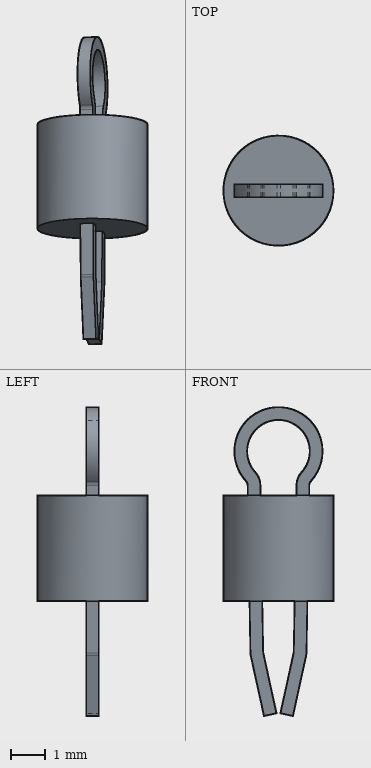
import cadquery as cq
import math

body_diameter = 3.17
body_bottom = 3.3
body_top = 6.34

wire = 0.37

total_height = 8.88
loop_outer_radius = 1.27
loop_inner_radius = loop_outer_radius - wire
loop_center_z = total_height - loop_outer_radius
neck_inner_x = 0.515
neck_outer_x = neck_inner_x + wire
bend_inner_radius = wire / 2
bend_outer_radius = bend_inner_radius + wire

leg_root_x = 0.835
leg_bend_x = 0.81
leg_bend_z = 1.785
leg_tip_x = 0.42


def make_body():
    body = cq.Workplane("XY").workplane(offset=body_bottom)
    return body.circle(body_diameter / 2).extrude(body_top - body_bottom)


def make_loop():
    """Open ring whose ends bend back tangentially into two vertical necks."""
    bend_x = neck_outer_x + bend_inner_radius
    reach = loop_inner_radius + bend_outer_radius
    bend_z = loop_center_z - math.sqrt(reach**2 - bend_x**2)
    tangent_angle = math.atan2(loop_center_z - bend_z, bend_x)

    def loop_point(radius):
        x = radius * math.cos(tangent_angle)
        return x, loop_center_z - radius * math.sin(tangent_angle)

    def bend_middle(radius):
        half_angle = math.pi - tangent_angle / 2
        return bend_x + radius * math.cos(half_angle), bend_z + radius * math.sin(half_angle)

    def mirrored(point):
        return -point[0], point[1]

    outer_end = loop_point(loop_outer_radius)
    inner_end = loop_point(loop_inner_radius)
    outer_bend = bend_middle(bend_inner_radius)
    inner_bend = bend_middle(bend_outer_radius)
    return (
        cq.Workplane("XZ")
        .moveTo(neck_outer_x, body_bottom)
        .lineTo(neck_outer_x, bend_z)
        .threePointArc(outer_bend, outer_end)
        .threePointArc((0, total_height), mirrored(outer_end))
        .threePointArc(mirrored(outer_bend), (-neck_outer_x, bend_z))
        .lineTo(-neck_outer_x, body_bottom)
        .lineTo(-neck_inner_x, body_bottom)
        .lineTo(-neck_inner_x, bend_z)
        .threePointArc(mirrored(inner_bend), mirrored(inner_end))
        .threePointArc((0, loop_center_z + loop_inner_radius), inner_end)
        .threePointArc(inner_bend, (neck_inner_x, bend_z))
        .lineTo(neck_inner_x, body_bottom)
        .close()
        .extrude(wire / 2, both=True)
    )


def make_leg():
    """Right-hand leg: a slightly tilted stretch, then a bend inward to a square-cut tip."""
    upper_tilt = math.atan2(leg_root_x - leg_bend_x, body_bottom - leg_bend_z)
    lower_tilt = math.atan2(leg_bend_x - leg_tip_x, leg_bend_z)
    middle_tilt = (upper_tilt + lower_tilt) / 2
    miter = wire / math.cos((lower_tilt - upper_tilt) / 2)

    root_z = (body_bottom + body_top) / 2
    root_x = leg_bend_x + (root_z - leg_bend_z) * math.tan(upper_tilt)

    def across(x, z, distance, tilt):
        return x - distance * math.cos(tilt), z + distance * math.sin(tilt)

    outer_bend = (leg_bend_x, leg_bend_z)
    inner_bend = across(*outer_bend, miter, middle_tilt)
    outline = [
        (root_x, root_z),
        outer_bend,
        (leg_tip_x, 0),
        across(leg_tip_x, 0, wire, lower_tilt),
        inner_bend,
        across(root_x, root_z, wire, upper_tilt),
    ]
    leg = cq.Workplane("XZ").polyline(outline).close().extrude(wire / 2, both=True)

    outer_edge = cq.selectors.NearestToPointSelector((leg_bend_x, 0, leg_bend_z))
    return leg.edges("|Y").edges(outer_edge).fillet(wire)


leg = make_leg()
result = make_body().union(make_loop()).union(leg).union(leg.mirror("YZ"))